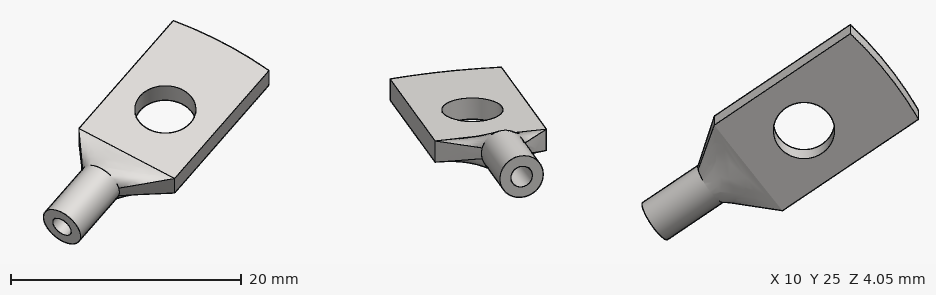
import cadquery as cq
import math

total_length = 24.95
palm_width = 10.0
palm_thickness = 2.0
end_bulge = 0.35

barrel_length = 6.0
barrel_diameter = 3.9
barrel_top = 4.05
barrel_axis_z = barrel_top - barrel_diameter / 2
bore_diameter = 1.92
bore_depth = barrel_length

neck_length = 4.02
corner_angle = math.pi * palm_thickness / (2 * (palm_width + palm_thickness))
palm_start = barrel_length + neck_length

stud_hole_diameter = 5.3
stud_hole_y = total_length - 8.98


def make_palm():
    """Flat palm with a shallow arc at its far end and a stud hole."""
    half_width = palm_width / 2
    corner_y = total_length - end_bulge
    return (
        cq.Workplane("XY")
        .moveTo(-half_width, palm_start)
        .lineTo(half_width, palm_start)
        .lineTo(half_width, corner_y)
        .threePointArc((0, total_length), (-half_width, corner_y))
        .close()
        .extrude(palm_thickness)
        .cut(
            cq.Workplane("XY")
            .center(0, stud_hole_y)
            .circle(stud_hole_diameter / 2)
            .extrude(palm_thickness)
        )
    )


def barrel_section(y):
    """XZ workplane at the given Y, centred on the barrel axis."""
    return cq.Workplane("XZ", origin=(0, y, barrel_axis_z))


def make_neck():
    """Ruled loft whose circle is split so each arc meets one side of the palm end."""
    radius = barrel_diameter / 2
    split_x = radius * math.cos(corner_angle)
    split_z = radius * math.sin(corner_angle)
    palm_offset_z = palm_thickness / 2 - barrel_axis_z
    return (
        barrel_section(palm_start)
        .center(0, palm_offset_z)
        .rect(palm_width, palm_thickness)
        .workplane(offset=neck_length)
        .center(0, -palm_offset_z)
        .moveTo(-split_x, -split_z)
        .threePointArc((0, -radius), (split_x, -split_z))
        .threePointArc((radius, 0), (split_x, split_z))
        .threePointArc((0, radius), (-split_x, split_z))
        .threePointArc((-radius, 0), (-split_x, -split_z))
        .close()
        .loft(ruled=True)
    )


def make_barrel():
    """Solid round barrel reaching from the mouth to the neck."""
    return barrel_section(0).circle(barrel_diameter / 2).extrude(-barrel_length)


def make_bore():
    """Blind wire bore, as deep as the barrel."""
    return barrel_section(0).circle(bore_diameter / 2).extrude(-bore_depth)


result = make_palm().union(make_neck()).union(make_barrel()).cut(make_bore())